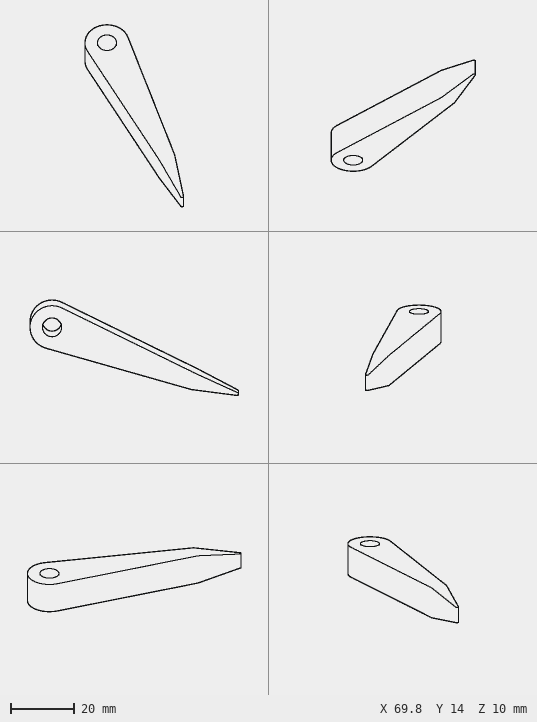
import cadquery as cq
import math

length = 69.8
thickness = 10.0
head_radius = 7.0
hole_diameter = 6.0
tip_radius = 0.5
tip_offset = 0.15
shoulder_x = 48.2
shoulder_y = 3.4
tip_thickness = 5.0

tip_x = length - head_radius
tip_center = (tip_x - tip_radius, tip_offset)
shoulder = (shoulder_x, shoulder_y)


def on_circle(center, radius, angle):
    """Point on a circle at an angle in radians."""
    return (center[0] + radius * math.cos(angle), center[1] + radius * math.sin(angle))


def tangent_angle(center, radius, point, side):
    """Angle of the tangent contact seen from an outside point."""
    dx = point[0] - center[0]
    dy = point[1] - center[1]
    return math.atan2(dy, dx) + side * math.acos(radius / math.hypot(dx, dy))


def make_blade():
    """Head and tip arcs joined by tangent flanks, extruded about mid-thickness."""
    pivot = (0, 0)
    straight_angle = -math.acos((head_radius - tip_radius) / math.hypot(*tip_center))
    straight_angle += math.atan2(tip_offset, tip_center[0])
    head_angle = tangent_angle(pivot, head_radius, shoulder, 1)
    point_angle = tangent_angle(tip_center, tip_radius, shoulder, -1)
    return (
        cq.Workplane("XY")
        .moveTo(*on_circle(pivot, head_radius, head_angle))
        .lineTo(*shoulder)
        .lineTo(*on_circle(tip_center, tip_radius, point_angle))
        .threePointArc((tip_x, tip_offset), on_circle(tip_center, tip_radius, straight_angle))
        .lineTo(*on_circle(pivot, head_radius, straight_angle))
        .threePointArc((-head_radius, 0), on_circle(pivot, head_radius, head_angle))
        .close()
        .extrude(thickness / 2, both=True)
    )


def make_side_envelope():
    """Side profile that thins the point equally from both faces."""
    half = thickness / 2
    half_tip = tip_thickness / 2
    profile = [
        (-head_radius, -half),
        (shoulder_x, -half),
        (tip_x, -half_tip),
        (tip_x, half_tip),
        (shoulder_x, half),
        (-head_radius, half),
    ]
    return cq.Workplane("XZ").polyline(profile).close().extrude(head_radius, both=True)


pivot_hole = cq.Workplane("XY").circle(hole_diameter / 2).extrude(thickness, both=True)

result = make_blade().intersect(make_side_envelope()).cut(pivot_hole)